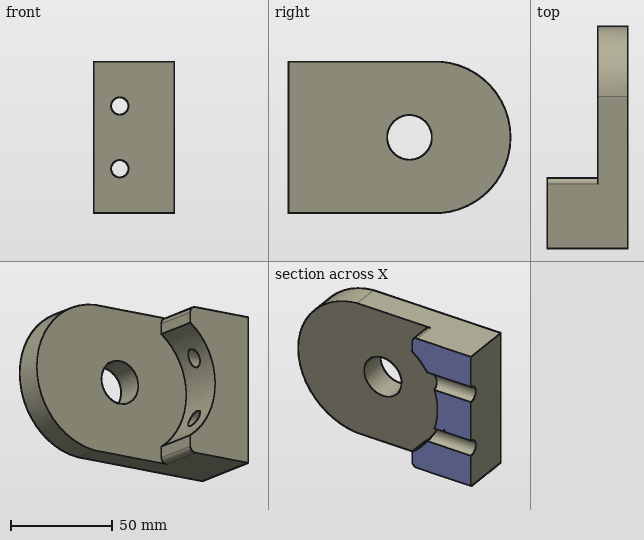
import cadquery as cq
import math

length = 110.0
width = 40.0
height = 75.0
half_height = height / 2

plate_thickness = 15.0
end_radius = 37.6
pivot_diameter = 22.0
pivot_y = 60.0

block_depth = 35.0
corner_radius = 3.0
recess_radius = 35.5
recess_floor_y = 20.0

mount_hole_diameter = 8.5
mount_hole_x = 13.0
mount_hole_spacing = 31.0


def make_plate():
    """Plate on the +X side; its end arc is slightly larger than half the height."""
    arc_center_y = length - end_radius
    arc_start_y = arc_center_y + math.sqrt(end_radius**2 - half_height**2)
    return (
        cq.Workplane("YZ", origin=(width - plate_thickness, 0, 0))
        .moveTo(0, -half_height)
        .lineTo(arc_start_y, -half_height)
        .threePointArc((length, 0), (arc_start_y, half_height))
        .lineTo(0, half_height)
        .close()
        .extrude(plate_thickness)
    )


def make_block():
    """Block on the -X side, overhanging the plate, with rounded inner corners."""
    block_width = width - plate_thickness
    block = (
        cq.Workplane("XY")
        .box(block_width, block_depth, height, centered=(False, False, True))
        .edges("|X and >Y")
        .fillet(corner_radius)
    )
    recess = (
        cq.Workplane("YZ")
        .center(recess_floor_y + recess_radius, 0)
        .circle(recess_radius)
        .extrude(block_width)
    )
    return block.cut(recess)


def make_pivot_hole():
    return (
        cq.Workplane("YZ")
        .center(pivot_y, 0)
        .circle(pivot_diameter / 2)
        .extrude(width)
    )


def make_mount_holes():
    """Pair of holes along Y, running from the mounting face into the recess."""
    return (
        cq.Workplane("XZ")
        .center(mount_hole_x, 0)
        .rarray(1.1, mount_hole_spacing, 1, 2)
        .circle(mount_hole_diameter / 2)
        .extrude(-block_depth)
    )


result = make_plate().union(make_block()).cut(make_pivot_hole()).cut(make_mount_holes())